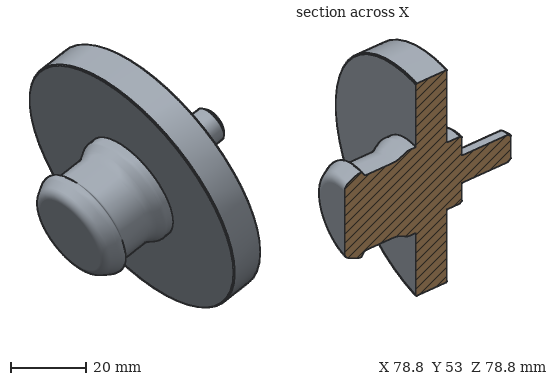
import cadquery as cq
import math


flange_radius = 39.4
flange_thickness = 10.0
flange_chamfer = 0.3

collar_radius = 25.0 / 2
collar_length = 4.7
collar_chamfer = 0.7
pin_radius = 10.3 / 2
pin_length = 15.6
pin_chamfer = 1.0

nose_length = 22.7
shoulder_radius = 32.0 / 2
shoulder_length = 2.0
neck_radius = 28.0 / 2
head_radius = 31.6 / 2
shoulder_round = 2.0
neck_rear_round = 5.0
neck_front_round = 1.0
crest_rear_round = 0.5
head_round = 3.0
crest_y = -17.5
gentle_slope = 30.0
steep_slope = 60.0


def disc(radius, start_y, length):
    """Cylinder along +Y from start_y."""
    plane = cq.Workplane("XZ", origin=(0, start_y, 0))
    return plane.circle(radius).extrude(-length)


def arc(profile, center, radius, start_angle, end_angle, lead_line=True):
    """Draw an arc, by default after a line to its start; angles are degrees from +X."""

    def point(angle):
        turn = math.radians(angle)
        return (center[0] + radius * math.cos(turn), center[1] + radius * math.sin(turn))

    if lead_line:
        profile = profile.lineTo(*point(start_angle))
    return profile.threePointArc(point((start_angle + end_angle) / 2), point(end_angle))


def cone_run(outer_radius, inner_radius, outer_round, inner_round, slope):
    """Axial distance between the ends of two rounds joined by a tangent cone."""
    turn = math.radians(slope)
    rounds = outer_round + inner_round
    cone_drop = outer_radius - inner_radius - rounds * (1 - math.cos(turn))
    return rounds * math.sin(turn) + cone_drop / math.tan(turn)


def make_nose():
    neck_rear_y = -shoulder_length - cone_run(
        shoulder_radius, neck_radius, shoulder_round, neck_rear_round, gentle_slope
    )
    neck_front_y = crest_y + cone_run(
        head_radius, neck_radius, crest_rear_round, neck_front_round, steep_slope
    )

    tip_center_y = -nose_length + head_round
    tip_center_x = head_radius - head_round
    tip_center_x -= (crest_y - tip_center_y) * math.tan(math.radians(gentle_slope))

    profile = cq.Workplane("XY").moveTo(0, 0).lineTo(shoulder_radius, 0)
    profile = arc(
        profile, (shoulder_radius - shoulder_round, -shoulder_length), shoulder_round, 0, -gentle_slope
    )
    profile = arc(
        profile, (neck_radius + neck_rear_round, neck_rear_y), neck_rear_round, 180 - gentle_slope, 180
    )
    profile = arc(
        profile, (neck_radius + neck_front_round, neck_front_y), neck_front_round, 180, 180 + steep_slope
    )
    profile = arc(profile, (head_radius - crest_rear_round, crest_y), crest_rear_round, steep_slope, 0)
    profile = arc(
        profile, (head_radius - head_round, crest_y), head_round, 0, -gentle_slope, lead_line=False
    )
    profile = arc(profile, (tip_center_x, tip_center_y), head_round, -gentle_slope, -90)
    profile = profile.lineTo(0, -nose_length).close()
    return profile.revolve(360, (0, 0, 0), (0, 1, 0))


flange = disc(flange_radius, 0, flange_thickness).edges().chamfer(flange_chamfer)

collar = disc(collar_radius, flange_thickness, collar_length)
collar = collar.faces(">Y").edges().chamfer(collar_chamfer)

pin = disc(pin_radius, flange_thickness + collar_length, pin_length)
pin = pin.faces(">Y").edges().chamfer(pin_chamfer)

result = flange.union(collar).union(pin).union(make_nose())